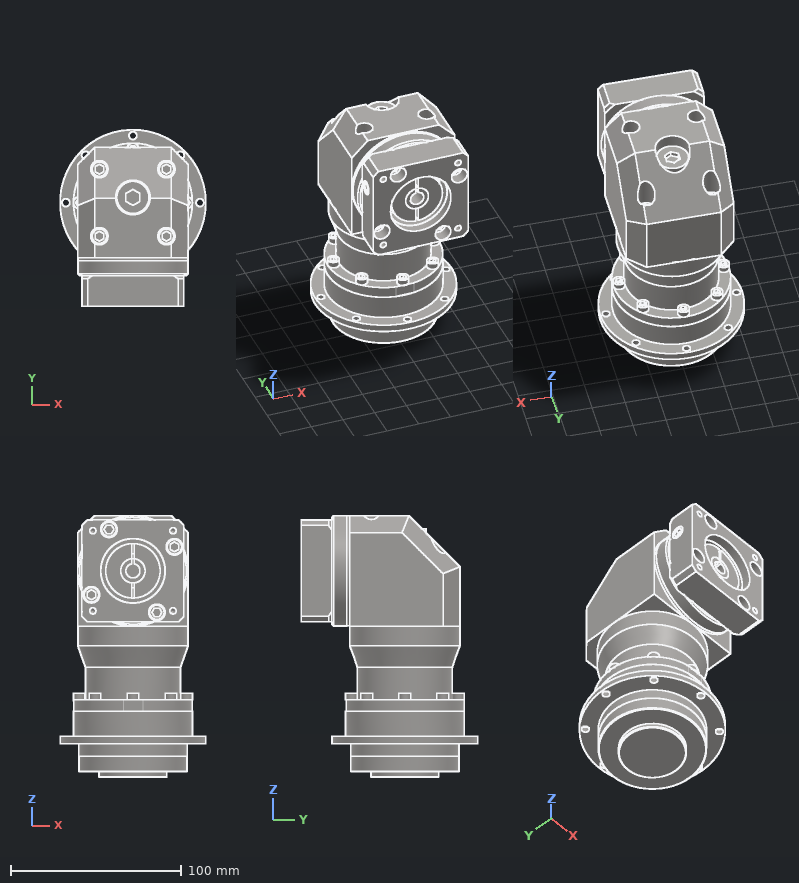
import cadquery as cq
import math


shaft_diameter = 40.0
nose_diameter = 63.8
pilot_diameter = 63.9
flange_diameter = 86.0
ring_diameter = 70.0
cover_diameter = 69.9
neck_diameter = 56.0

shaft_length = 3.2
nose_top = 12.3
flange_bottom = 19.7
flange_top = 24.3
ring_top = 38.8
cover_top = 45.7
neck_top = 64.7
collar_bottom = 77.3
edge_break = 0.5

cover_flat_distance = 34.5
flange_hole_count = 8
flange_hole_diameter = 4.5
flange_hole_circle = 78.8
cover_screw_count = 8
cover_screw_circle = 63.1
cover_screw_diameter = 7.0
cover_screw_height = 3.8
cover_screw_hex = 3.5
cover_screw_socket_depth = 2.0

total_height = 154.0
housing_size = 65.0
housing_half = housing_size / 2
housing_bottom = total_height - housing_size
input_height = total_height - housing_half
slope_leg = 30.0
housing_chamfer = 10.0

housing_screw_offset = 19.7
housing_screw_hole = 10.2
housing_screw_depth = 33.9
screw_head_diameter = 8.5
screw_head_height = 5.0
screw_hex = 5.1
screw_socket_depth = 2.5
corner_along_y = 90.0

plug_offset = 3.1
plug_pocket_diameter = 20.3
plug_diameter = 19.0
plug_depth = 7.7
plug_gap_depth = 4.6
plug_length = 15.4
plug_hex = 8.2
plug_socket_depth = 3.1

disc_joint = 34.2
spigot_step = 0.2
plate_back = 43.0
plate_front = 61.0
plate_thickness = plate_front - plate_back
disc_chamfer = 1.1
plate_size = 60.0
plate_corner_radius = 40.2
plate_corner_break = 1.8
pilot_bore_diameter = 38.0
pilot_bore_depth = 6.0
hub_clearance_bore = 37.7

motor_hole_offset = 23.5
motor_hole_diameter = 3.7
motor_hole_depth = 12.3
drill_point_angle = 118.0
plate_screw_radius = 28.2
plate_screw_hole = 9.7
plate_screw_depth = 12.3
plate_screw_first_angle = 30.0
plate_screw_count = 4
plate_socket_turn = 60.0

access_screw_distance = 49.1
access_screw_height = 132.9
access_screw_diameter = 8.2
access_screw_recess = 0.3
access_screw_hex = 5.1
access_screw_socket_depth = 2.3

hub_diameter = 32.0
hub_front = plate_front - pilot_bore_depth
hub_recess = 6.2
hub_back = plate_back - hub_recess
bushing_diameter = 14.3
bushing_bore = 8.3
slit_width = 1.5
slit_depth = hub_front - plate_back
slit_relief_diameter = 20.0
slit_relief_depth = 1.5


def cylinder_z(diameter, bottom, top):
    """Cylinder on the output axis between two heights."""
    return cq.Workplane("XY").workplane(offset=bottom).circle(diameter / 2).extrude(top - bottom)


def input_plane(distance):
    """Plane across the input axis: local x is X, local y is Z, the normal is -Y."""
    return cq.Workplane(cq.Plane((0, -distance, input_height), (1, 0, 0), (0, -1, 0)))


def cylinder_in(diameter, back, front):
    """Cylinder on the input axis between two distances from the output axis."""
    return input_plane(back).circle(diameter / 2).extrude(front - back)


def hexagon(workplane, across_flats, depth, turn=0.0):
    """Hexagonal prism rising from the workplane, with a corner on local x before it is turned."""
    across_corners = across_flats / math.cos(math.pi / 6)
    return workplane.transformed(rotate=(0, 0, turn)).polygon(6, across_corners).extrude(depth)


def sink_socket_screw(body, base, hole_diameter, hole_depth, turn):
    """Counterbore rising from its floor workplane, with a socket head left standing on the floor."""
    well = base.circle(hole_diameter / 2).extrude(hole_depth)
    head = base.circle(screw_head_diameter / 2).extrude(screw_head_height)
    socket_base = base.workplane(offset=screw_head_height - screw_socket_depth)
    socket = hexagon(socket_base, screw_hex, screw_socket_depth, turn)
    return body.cut(well).union(head.cut(socket))


def make_output_gearbox():
    outline = [
        (0, 0),
        (shaft_diameter / 2 - edge_break, 0),
        (shaft_diameter / 2, edge_break),
        (shaft_diameter / 2, shaft_length),
        (nose_diameter / 2 - edge_break, shaft_length),
        (nose_diameter / 2, shaft_length + edge_break),
        (nose_diameter / 2, nose_top),
        (pilot_diameter / 2, nose_top),
        (pilot_diameter / 2, flange_bottom),
        (flange_diameter / 2, flange_bottom),
        (flange_diameter / 2, flange_top),
        (ring_diameter / 2, flange_top),
        (ring_diameter / 2, ring_top),
        (cover_diameter / 2, ring_top),
        (cover_diameter / 2, cover_top),
        (neck_diameter / 2, cover_top),
        (neck_diameter / 2, neck_top),
        (housing_half, collar_bottom),
        (housing_half, housing_bottom),
        (0, housing_bottom),
    ]
    gearbox = cq.Workplane("XZ").polyline(outline).close().revolve(360, (0, 0), (0, 1))

    beyond_flat = (
        cq.Workplane("XY")
        .workplane(offset=ring_top)
        .center(0, -cover_flat_distance - cover_diameter / 2)
        .rect(cover_diameter, cover_diameter)
        .extrude(cover_top - ring_top)
    )
    gearbox = gearbox.cut(beyond_flat)

    flange_holes = (
        cq.Workplane("XY")
        .workplane(offset=flange_bottom)
        .polarArray(flange_hole_circle / 2, 0, 360, flange_hole_count)
        .circle(flange_hole_diameter / 2)
        .extrude(flange_top - flange_bottom)
    )
    gearbox = gearbox.cut(flange_holes)

    for index in range(cover_screw_count):
        angle = math.radians(index * 360 / cover_screw_count)
        x = cover_screw_circle / 2 * math.cos(angle)
        y = cover_screw_circle / 2 * math.sin(angle)
        screw_top = cover_top + cover_screw_height
        head = cylinder_z(cover_screw_diameter, cover_top, screw_top).translate((x, y, 0))
        socket_base = cq.Workplane("XY", origin=(x, y, screw_top - cover_screw_socket_depth))
        gearbox = gearbox.union(head).cut(hexagon(socket_base, cover_screw_hex, cover_screw_socket_depth))
    return gearbox


def make_angle_block():
    """Cube with a 45 degree slope at its upper rear; slope, top and rear have chamfered side edges."""
    slope_start = housing_half - slope_leg
    profile = [
        (-housing_half, housing_bottom),
        (housing_half, housing_bottom),
        (housing_half, total_height - slope_leg),
        (slope_start, total_height),
        (-housing_half, total_height),
    ]
    block = cq.Workplane("YZ").polyline(profile).close().extrude(housing_half, both=True)
    side_edges = block.faces("<X or >X").edges("not (<Z or <Y)")
    return side_edges.chamfer(housing_chamfer)


def cut_housing_screws(housing):
    """Deep counterbores from the top, with a socket head at the bottom of each."""
    floor = total_height - housing_screw_depth
    for x in (-housing_screw_offset, housing_screw_offset):
        for y in (-housing_screw_offset, housing_screw_offset):
            base = cq.Workplane("XY", origin=(x, y, floor))
            housing = sink_socket_screw(
                housing, base, housing_screw_hole, housing_screw_depth, corner_along_y
            )
    return housing


def add_plug(housing):
    """Vertical plug screw in a pocket that breaks through the slope."""
    plug_top = cq.Workplane("XY", origin=(0, plug_offset, total_height - plug_depth))
    pocket_floor = plug_top.workplane(offset=-plug_gap_depth)
    pocket = pocket_floor.circle(plug_pocket_diameter / 2).extrude(plug_depth + plug_gap_depth)
    plug_base = plug_top.workplane(offset=-plug_length)
    plug = plug_base.circle(plug_diameter / 2).extrude(plug_length)
    socket_base = plug_top.workplane(offset=-plug_socket_depth)
    socket = hexagon(socket_base, plug_hex, plug_socket_depth, corner_along_y)
    return housing.cut(pocket).union(plug.cut(socket))


def make_angle_housing():
    housing = add_plug(cut_housing_screws(make_angle_block()))
    spigot = cylinder_in(housing_size - spigot_step, housing_half, disc_joint)
    disc = cylinder_in(housing_size, disc_joint, plate_back).faces("<Y").chamfer(disc_chamfer)
    housing = housing.union(spigot).union(disc)
    return housing.cut(cylinder_in(hub_diameter, hub_back, plate_back))


def cut_motor_holes(plate):
    """Blind motor screw holes near the plate corners, each ending in a drill point."""
    radius = motor_hole_diameter / 2
    point_length = radius / math.tan(math.radians(drill_point_angle / 2))
    drill_outline = [
        (0, 0),
        (radius, 0),
        (radius, motor_hole_depth),
        (0, motor_hole_depth + point_length),
    ]
    drill = cq.Workplane("XY").polyline(drill_outline).close().revolve(360, (0, 0), (0, 1))
    for x in (-motor_hole_offset, motor_hole_offset):
        for z in (-motor_hole_offset, motor_hole_offset):
            plate = plate.cut(drill.translate((x, -plate_front, input_height + z)))
    return plate


def make_adapter_plate():
    square = input_plane(plate_back).rect(plate_size, plate_size).extrude(plate_thickness)
    round_blank = cylinder_in(2 * plate_corner_radius, plate_back, plate_front)
    plate = square.intersect(round_blank.faces(">Y").chamfer(plate_corner_break))

    plate = plate.cut(cylinder_in(pilot_bore_diameter, plate_front - pilot_bore_depth, plate_front))
    plate = plate.cut(cylinder_in(hub_clearance_bore, plate_back, plate_front))
    plate = cut_motor_holes(plate)

    for index in range(plate_screw_count):
        turn = plate_screw_first_angle + index * 360 / plate_screw_count
        x = plate_screw_radius * math.cos(math.radians(turn))
        z = plate_screw_radius * math.sin(math.radians(turn))
        base = input_plane(plate_front - plate_screw_depth).center(x, z)
        socket_turn = turn + plate_socket_turn
        plate = sink_socket_screw(plate, base, plate_screw_hole, plate_screw_depth, socket_turn)

    side = cq.Workplane("YZ", origin=(-plate_size / 2, -access_screw_distance, access_screw_height))
    recess = side.circle(access_screw_diameter / 2).extrude(access_screw_recess)
    socket = hexagon(side, access_screw_hex, access_screw_socket_depth)
    return plate.cut(recess).cut(socket)


def slit(bottom, top, depth):
    """Slot across the hub face between two local heights."""
    return (
        input_plane(hub_front - depth)
        .center(0, (bottom + top) / 2)
        .rect(slit_width, top - bottom)
        .extrude(depth)
    )


def make_clamp_hub():
    hub = cylinder_in(hub_diameter, hub_back, hub_front)
    hub = hub.cut(cylinder_in(bushing_diameter, hub_back, hub_front))
    hub = hub.cut(slit(-hub_diameter / 2, hub_diameter / 2, slit_depth))
    relief = slit(-slit_relief_diameter / 2, slit_relief_diameter / 2, slit_depth + slit_relief_depth)
    return hub.cut(relief)


def make_bushing():
    bushing = cylinder_in(bushing_diameter, hub_back, hub_front)
    bushing = bushing.cut(cylinder_in(bushing_bore, hub_back, hub_front))
    return bushing.cut(slit(0, bushing_diameter / 2, hub_front - hub_back))


output_gearbox = make_output_gearbox()
angle_housing = make_angle_housing()
adapter_plate = make_adapter_plate()
clamp_hub = make_clamp_hub()
bushing = make_bushing()

result = cq.Compound.makeCompound(
    [
        output_gearbox.val(),
        angle_housing.val(),
        adapter_plate.val(),
        clamp_hub.val(),
        bushing.val(),
    ]
)